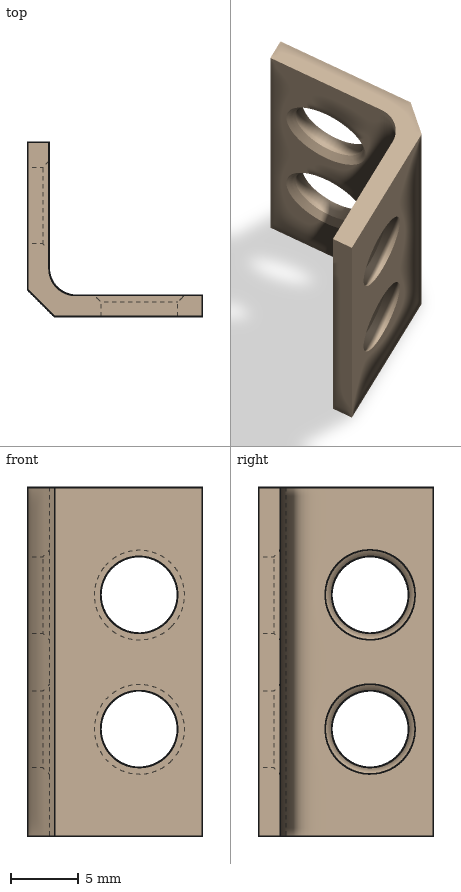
import cadquery as cq

leg_length = 13.0
height = 26.0
thickness = 1.6
corner_chamfer = 2.0
inner_radius = 2.0

hole_diameter = 5.7
hole_chamfer = 0.5
hole_from_corner = 8.3
hole_spacing = 10.0
hole_heights = [height / 2 - hole_spacing / 2, height / 2 + hole_spacing / 2]


def make_angle():
    """L-shaped profile with a chamfered outer corner and a rounded inner corner."""
    angle = (
        cq.Workplane("XY")
        .moveTo(corner_chamfer, 0)
        .lineTo(leg_length, 0)
        .lineTo(leg_length, thickness)
        .lineTo(thickness + inner_radius, thickness)
        .radiusArc((thickness, thickness + inner_radius), inner_radius)
        .lineTo(thickness, leg_length)
        .lineTo(0, leg_length)
        .lineTo(0, corner_chamfer)
        .close()
        .extrude(height)
    )
    return angle


def make_hole_cutter():
    """Solid of revolution about X: a plain bore that flares at the inner face of a leg."""
    bore_radius = hole_diameter / 2
    flare_radius = bore_radius + hole_chamfer
    cutter = (
        cq.Workplane("XY")
        .moveTo(0, 0)
        .lineTo(0, bore_radius)
        .lineTo(thickness - hole_chamfer, bore_radius)
        .lineTo(thickness, flare_radius)
        .lineTo(thickness, 0)
        .close()
        .revolve(360, (0, 0, 0), (1, 0, 0))
    )
    return cutter


result = make_angle()
hole_cutter = make_hole_cutter()
turned_cutter = hole_cutter.rotate((0, 0, 0), (0, 0, 1), 90)
for hole_height in hole_heights:
    result = result.cut(hole_cutter.translate((0, hole_from_corner, hole_height)))
    result = result.cut(turned_cutter.translate((hole_from_corner, 0, hole_height)))